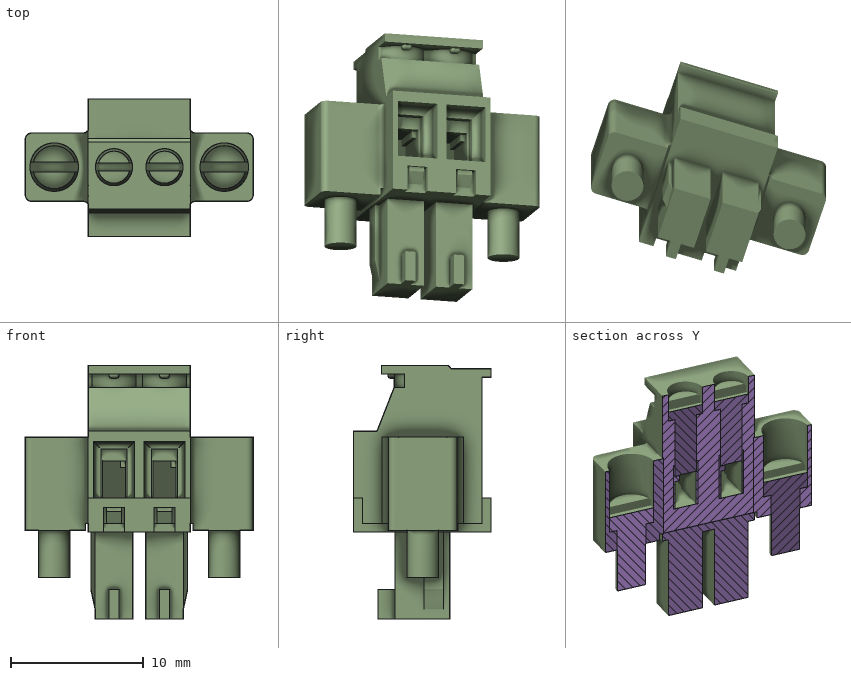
import cadquery as cq

pole_pitch = 3.81
pole_centres = (-pole_pitch / 2, pole_pitch / 2)
sides = (-1, 1)

total_height = 19.15
base_bottom = 6.57
housing_bottom = 7.22
lip_top = 9.15
shoulder_level = 14.19

body_width = 7.7
front_face = -5.25
rear_face = 5.15
lip_thickness = 0.69
housing_front = front_face + lip_thickness
housing_rear = rear_face - lip_thickness

plate_thickness = 0.65
plate_front = -3.15
plate_step = 0.25
plate_step_start = 1.92
plate_bottom = total_height - plate_thickness
rear_plate_top = total_height - plate_step
rear_plate_bottom = rear_plate_top - plate_thickness
groove_floor = 17.46
groove_back = -1.38
slope_top_y = -2.18
slope_bottom_y = -3.47
column_radius = 2.16

pad_width = 0.77
pad_front = -2.65
pad_back = -1.92
pad_height = 0.33
pad_round = 0.23

opening_width = 3.1
opening_top = 13.4
opening_depth = 1.8
opening_round = 0.55
cavity_width = opening_width - 2 * opening_round
cavity_top = opening_top - opening_round

notch_width = 1.55
notch_top = 8.45
barb_width = 1.13
barb_depth = 0.42
barb_face_height = 0.33

clamp_front = -2.68
clamp_back = 1.19
clamp_wall = 0.144
clamp_top_thickness = 0.9
clamp_inner_depth = 3.45
clamp_ceiling = cavity_top - clamp_top_thickness
lug_front = -2.1
lug_width = 0.35
lug_height = 0.5

terminal_head_diameter = 2.8
terminal_shank_diameter = 1.75
terminal_head_top = 18.4
terminal_head_height = 1.53
terminal_slot_width = 0.6
terminal_slot_depth = 0.77
terminal_chamfer = 0.2

leg_width = 2.85
leg_front = -2.1
leg_rear = 2.03
hook_width = 0.79
hook_depth = 1.28
hook_height = 2.26
rib_front = 0.1
rib_rear = 1.57
rib_depth = 0.33
rib_taper_top = 2.26
rib_taper_bottom = 0.77

overall_width = 17.22
flange_end = overall_width / 2
flange_half_depth = 2.59
flange_top = 13.73
flange_bottom = 6.7
flange_round = 0.5
flange_seat_depth = 0.1
flange_seat_x = body_width / 2 - flange_seat_depth
flange_seat_half_depth = flange_half_depth + flange_round
flange_skirt_x = 4.05

flange_screw_x = 6.42
flange_head_diameter = 3.65
flange_shank_diameter = 2.4
flange_head_top = 10.35
flange_head_height = 1.92
flange_slot_width = 0.77
flange_slot_depth = 0.67
flange_chamfer = 0.21
flange_screw_bottom = 3.15


def block(x_range, y_range, z_range):
    """Box between the given limits on each axis."""
    (x0, x1), (y0, y1), (z0, z1) = x_range, y_range, z_range
    return cq.Workplane("XY").box(x1 - x0, y1 - y0, z1 - z0, centered=False).translate((x0, y0, z0))


def centred_block(x, width, y_range, z_range):
    """Box of the given width, centred on x."""
    return block((x - width / 2, x + width / 2), y_range, z_range)


def cylinder(x, diameter, z_range):
    """Upright cylinder on the screw line Y = 0."""
    bottom, top = z_range
    return cq.Workplane("XY", origin=(x, 0, bottom)).circle(diameter / 2).extrude(top - bottom)


def side_profile(points, x, width):
    """Prism of the given width, centred on x, from a (Y, Z) outline."""
    start = cq.Workplane("YZ", origin=(x - width / 2, 0, 0))
    return start.polyline(points).close().extrude(width)


def slotted_screw(x, head_diameter, head_range, shank_diameter, shank_bottom, chamfer, slot):
    """Screw with a chamfered head and a straight slot along X; slot is (width, depth)."""
    head_bottom, head_top = head_range
    slot_width, slot_depth = slot
    head = cylinder(x, head_diameter, head_range).faces(">Z").chamfer(chamfer)
    shank = cylinder(x, shank_diameter, (shank_bottom, head_bottom))
    slot_cut = centred_block(
        x, head_diameter, (-slot_width / 2, slot_width / 2), (head_top - slot_depth, head_top)
    )
    return head.union(shank).cut(slot_cut)


def bore_for_screw(x, head_diameter, head_bottom, shank_diameter, z_range):
    """Stepped bore that fits a screw and stays open above its head."""
    bottom, top = z_range
    return cylinder(x, head_diameter, (head_bottom, top)).union(
        cylinder(x, shank_diameter, (bottom, head_bottom))
    )



def housing_shell():
    """Solid housing with its top plate, front slope, wire-entry block and groove."""
    outline = [
        (housing_rear, housing_bottom),
        (housing_rear, rear_plate_bottom),
        (rear_face, rear_plate_bottom),
        (rear_face, rear_plate_top),
        (plate_step_start + plate_step, rear_plate_top),
        (plate_step_start, total_height),
        (plate_front, total_height),
        (plate_front, plate_bottom),
        (groove_back, plate_bottom),
        (groove_back, groove_floor),
        (slope_top_y, groove_floor),
        (slope_bottom_y, shoulder_level),
        (front_face, shoulder_level),
        (front_face, lip_top),
        (housing_front, lip_top),
        (housing_front, housing_bottom),
    ]
    return side_profile(outline, 0, body_width)


def screw_column(x):
    """Round front of the screw column that stands in the groove."""
    groove = centred_block(x, pole_pitch, (-column_radius, groove_back), (groove_floor, plate_bottom))
    return cylinder(x, 2 * column_radius, (groove_floor, plate_bottom)).intersect(groove)


def plate_pad(x):
    """Small rounded pad that hangs below the front edge of the plate."""
    pad = centred_block(x, pad_width, (pad_front, pad_back), (plate_bottom - pad_height, plate_bottom))
    return pad.edges("<Y and |Z").fillet(pad_round).faces("<Z").edges("not >Y").fillet(pad_round)


def wire_opening(x):
    """Front pocket with rounded inner edges, leading into the clamp cavity."""
    pocket = centred_block(
        x, opening_width, (front_face, front_face + opening_depth), (lip_top, opening_top)
    )
    pocket = pocket.faces(">Y").edges("not <Z").fillet(opening_round)
    cavity = centred_block(x, cavity_width, (front_face, clamp_back), (lip_top, cavity_top))
    return pocket.union(cavity)


def snap_barb(x):
    """Barb with a flat face on top and a ramp below it."""
    outline = [
        (housing_front, housing_bottom),
        (housing_front - barb_depth, notch_top - barb_face_height),
        (housing_front - barb_depth, notch_top),
        (housing_front, notch_top),
    ]
    return side_profile(outline, x, barb_width)


def flange_seat(side):
    """Shallow recess in the housing side for a flange block."""
    x_range = sorted((side * flange_seat_x, side * body_width / 2))
    seat_y = (-flange_seat_half_depth, flange_seat_half_depth)
    return block(x_range, seat_y, (housing_bottom, flange_top))


def make_housing():
    housing = housing_shell()
    for x in pole_centres:
        housing = housing.union(screw_column(x)).union(plate_pad(x)).union(snap_barb(x))
        housing = housing.cut(wire_opening(x))
        housing = housing.cut(
            bore_for_screw(
                x,
                terminal_head_diameter,
                terminal_head_top - terminal_head_height,
                terminal_shank_diameter,
                (cavity_top, total_height),
            )
        )
    for side in sides:
        housing = housing.cut(flange_seat(side))
    return housing



def base_tray():
    outline = [
        (front_face, base_bottom),
        (rear_face, base_bottom),
        (rear_face, lip_top),
        (housing_rear, lip_top),
        (housing_rear, housing_bottom),
        (housing_front, housing_bottom),
        (housing_front, lip_top),
        (front_face, lip_top),
    ]
    return side_profile(outline, 0, body_width)


def base_leg(x):
    """Leg with a hook at its front foot."""
    leg = centred_block(x, leg_width, (leg_front, leg_rear), (0, base_bottom))
    hook = centred_block(x, hook_width, (leg_front - hook_depth, leg_front), (0, hook_height))
    return leg.union(hook)


def leg_rib(side):
    """Rib with a tapered foot on the outer face of a leg."""
    inner = side * (pole_pitch + leg_width) / 2
    outer = inner + side * rib_depth
    outline = [
        (inner, base_bottom),
        (outer, base_bottom),
        (outer, rib_taper_top),
        (inner, rib_taper_bottom),
    ]
    start = cq.Workplane("XZ", origin=(0, rib_rear, 0))
    return start.polyline(outline).close().extrude(rib_rear - rib_front)


def make_base():
    base = base_tray()
    for x in pole_centres:
        base = base.union(base_leg(x))
        base = base.cut(
            centred_block(x, notch_width, (front_face, housing_front), (base_bottom, notch_top))
        )
    for side in sides:
        base = base.union(leg_rib(side))
    return base



def make_clamp(x):
    """Clamp block, open at the front and below, with a small lug in one upper corner."""
    inner_width = cavity_width - 2 * clamp_wall
    inner_right = x + inner_width / 2
    inner_back = clamp_front + clamp_inner_depth
    clamp = centred_block(x, cavity_width, (clamp_front, clamp_back), (lip_top, cavity_top))
    inside = centred_block(x, inner_width, (clamp_front, inner_back), (lip_top, clamp_ceiling))
    lug = block(
        (inner_right - lug_width, inner_right),
        (lug_front, inner_back),
        (clamp_ceiling - lug_height, clamp_ceiling),
    )
    screw_hole = cylinder(x, terminal_shank_diameter, (clamp_ceiling, cavity_top))
    return clamp.cut(inside).union(lug).cut(screw_hole)


def make_terminal_screw(x):
    return slotted_screw(
        x,
        terminal_head_diameter,
        (terminal_head_top - terminal_head_height, terminal_head_top),
        terminal_shank_diameter,
        clamp_ceiling,
        terminal_chamfer,
        (terminal_slot_width, terminal_slot_depth),
    )



def make_flange(side):
    """Block with rounded outer corners that flares out where it meets the housing."""
    flare_x = flange_seat_x + flange_round
    block_y = (-flange_half_depth, flange_half_depth)
    body = block((flange_seat_x, flange_end), block_y, (flange_bottom, flange_top))
    body = body.edges(">X and |Z").fillet(flange_round)
    flare_y = (-flange_seat_half_depth, flange_seat_half_depth)
    flare = block((flange_seat_x, flare_x), flare_y, (flange_bottom, flange_top))
    for y in flare_y:
        corner = cq.Workplane("XY", origin=(flare_x, y, flange_bottom))
        flare = flare.cut(corner.circle(flange_round).extrude(flange_top - flange_bottom))
    relief = block((flange_seat_x, flange_skirt_x), flare_y, (flange_bottom, housing_bottom))
    bore = bore_for_screw(
        flange_screw_x,
        flange_head_diameter,
        flange_head_top - flange_head_height,
        flange_shank_diameter,
        (flange_bottom, flange_top),
    )
    flange = body.union(flare).cut(relief).cut(bore)
    return flange if side > 0 else flange.mirror("YZ")


def make_flange_screw(side):
    return slotted_screw(
        side * flange_screw_x,
        flange_head_diameter,
        (flange_head_top - flange_head_height, flange_head_top),
        flange_shank_diameter,
        flange_screw_bottom,
        flange_chamfer,
        (flange_slot_width, flange_slot_depth),
    )


housing = make_housing()
base = make_base()
clamps = [make_clamp(x) for x in pole_centres]
terminal_screws = [make_terminal_screw(x) for x in pole_centres]
flanges = [make_flange(side) for side in sides]
flange_screws = [make_flange_screw(side) for side in sides]

bodies = [housing, base, *clamps, *terminal_screws, *flanges, *flange_screws]
result = cq.Compound.makeCompound([body.solids().val() for body in bodies])